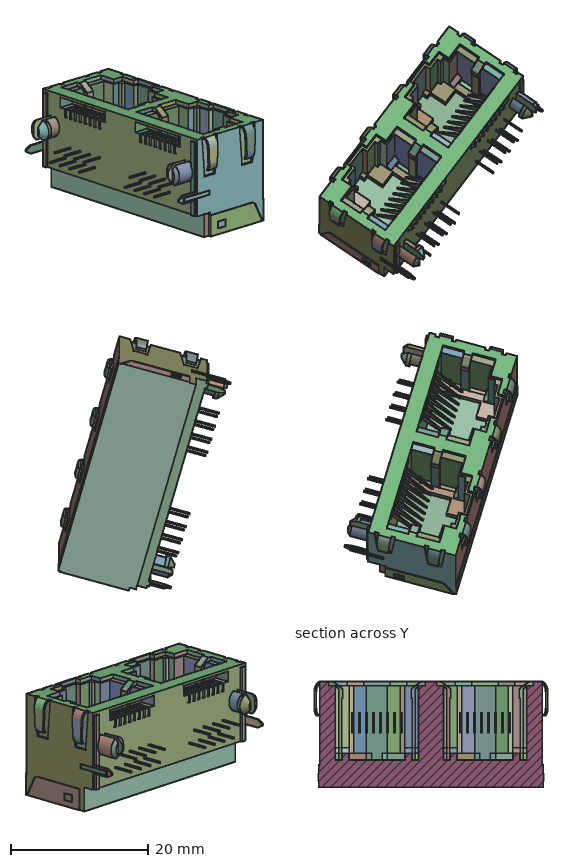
import cadquery as cq
import math


BODY_W = 32.5
BODY_D = 13.29
BODY_H = 15.47
STEP_D = 1.68
STEP_H = 3.68
SIDE_X = BODY_W / 2
SHEET = 0.12
OVERLAP = 0.2

PORT_PITCH = 15.75
PORT_CENTRES = (-PORT_PITCH / 2, PORT_PITCH / 2)
PORT_Y = 2.44
RECESS_Z = 14.84
RECESS_STEPS = ((7.03, 10.42), (4.31, 12.2), (1.9, 13.05))
MOUTH_STEPS = ((4.05, 11.26), (3.42, 11.79), (1.53, 12.63))
PLUG_STEPS = ((4.05, 9.05), (1.53, 11.79), (0.79, 12.63))
SHELF_Z = 5.0
FLOOR_Z = 4.0

LAMP_IN = 4.05
LAMP_MID = 5.1
LAMP_OUT = 6.05
LAMP_TOP_Y = 10.15
LAMP_RAMP_Y = 9.37
LAMP_POCKET_Y = 4.0

CLIP_Y = (5.69, 6.95)
CLIP_T = 0.32
CLIP_TIP_X = 4.98
CLIP_CREST_X = 6.24
CLIP_CREST_Z = 15.3
CLIP_BEND_Z = 14.6
CLIP_RIM_X = 6.58
CLIP_HOOK_Z = 13.0
CLIP_LEG_X = (5.15, 5.55)

CONTACTS = 8
CONTACT_PITCH = 1.02
CONTACT_W = 0.2
CONTACT_T = 0.25
COMB_W = 9.39
COMB_Z = (13.47, 15.05)
COMB_SLOT_W = 0.36
COMB_SLOT_Z = 12.19
FINGER_END_Y = 6.43
FINGER_END_Z = 8.0
FINGER_ROOT_Y = 1.2
TAIL_END_Y = -3.17
TAIL_ROWS_Z = (6.0, 7.77)

SPRING_SIDE_Y = (2.5, 10.08)
SPRING_BACK_X = (-11.71, -4.06, 4.06, 11.71)
SPRING_T = 0.33
SPRING_W = (1.95, 1.46)
SPRING_TIP_Z = 10.42
SPRING_TIP_Y = 0.1
SPRING_STRAIGHT_Z = (14.0, 11.5)
SPRING_OUTER_X = 17.025
SPRING_OUTER_Y = 14.04
SPRING_REACH_SIDE = SPRING_OUTER_X - SIDE_X
SPRING_REACH_BACK = SPRING_OUTER_Y - BODY_D
WINDOW_W = (3.12, 2.09)
WINDOW_Z = 9.46
WINDOW_DEPTH = 0.33

POST_Z = 10.25
POST_HALF_H = 1.54
POST_END_Y = -3.47
POST_OUTER_X = 14.54
POST_HOOK_X = 13.72
PLAIN_REACH = 0.97
HOOK_SHAFT_REACH = 0.98
HOOK_LIP_REACH = 1.33
PLAIN_CHAMFER = 0.53
HOOK_CHAMFER = 0.97
HOOK_LIP_L = 0.53

STRIP_X = (15.18, 15.9)
STRIP_T = 0.32
STRIP_TOP_Z = 15.05

PIN_Z = 6.83
PIN_W = 1.27
PIN_X = (15.9, 16.13)
PIN_SHOULDER_Y = -2.73
PIN_TIP_Y = -3.62
PIN_TIP_R = 0.2
RIB_W = 0.65
RIB_START_Y = 2.36

FLAP_H = 3.27
FLAP_Y = (2.63, 13.08)
FLAP_TOP_Y = 11.45
FLAP_R = 0.8
BACK_FLAP_T = 0.09
LATCH_Y = (3.98, 5.5)
LATCH_Z = (0.95, 2.01)
LATCH_T = 0.1
LATCH_R = 0.15


def box(x, y, z):
    """Box between pairs of limits, in any order."""
    size = [abs(pair[1] - pair[0]) for pair in (x, y, z)]
    centre = [(pair[0] + pair[1]) / 2 for pair in (x, y, z)]
    return cq.Workplane("XY").box(*size).translate(tuple(centre))


def both_sides(solid):
    return solid.union(solid.mirror("YZ"))


def stepped_prism(steps, z_low, z_high):
    """Symmetric stepped opening, from the inner face of the board-side wall up to each step."""
    start = (-steps[0][0], PORT_Y)
    right = [(steps[0][0], PORT_Y)]
    for index, (half, top) in enumerate(steps):
        right.append((half, top))
        if index + 1 < len(steps):
            right.append((steps[index + 1][0], top))
    left = [(-x, y) for x, y in reversed(right[1:])]
    outline = cq.Workplane("XY", origin=(0, 0, z_low)).polyline([start] + right + left).close()
    return outline.extrude(z_high - z_low)


def make_body():
    profile = [
        (0, STEP_H), (STEP_D, STEP_H), (STEP_D, 0),
        (BODY_D, 0), (BODY_D, BODY_H), (0, BODY_H),
    ]
    body = cq.Workplane("YZ").polyline(profile).close().extrude(SIDE_X, both=True)
    return body.cut(box((STRIP_X[1], SIDE_X), (STEP_D, FLAP_Y[0]), (0, STEP_H)))


def lamp_slots():
    ramp_top_z = SHELF_Z + LAMP_TOP_Y - LAMP_RAMP_Y
    profile = [
        (PORT_Y, SHELF_Z), (LAMP_RAMP_Y, SHELF_Z), (LAMP_TOP_Y, ramp_top_z),
        (LAMP_TOP_Y, RECESS_Z), (PORT_Y, RECESS_Z),
    ]
    slot = cq.Workplane("YZ", origin=(LAMP_IN, 0, 0)).polyline(profile).close()
    slot = slot.extrude(LAMP_OUT - LAMP_IN)
    pocket = box((LAMP_MID, LAMP_OUT), (LAMP_POCKET_Y, LAMP_RAMP_Y), (FLOOR_Z, SHELF_Z))
    return both_sides(slot.union(pocket))


def clips():
    """Bent strip from the rim of the port, sloping into the lamp slot, with a leg down to its floor."""
    rim_x = RECESS_STEPS[0][0] + OVERLAP
    inner_x = CLIP_TIP_X + CLIP_T
    strip = (
        cq.Workplane("XZ", origin=(0, CLIP_Y[1], 0))
        .moveTo(rim_x, BODY_H)
        .lineTo(CLIP_RIM_X, BODY_H)
        .lineTo(CLIP_CREST_X, CLIP_CREST_Z)
        .lineTo(inner_x, CLIP_BEND_Z)
        .tangentArcPoint((CLIP_TIP_X, CLIP_BEND_Z - CLIP_T), relative=False)
        .lineTo(CLIP_TIP_X, CLIP_HOOK_Z)
        .lineTo(CLIP_LEG_X[0], CLIP_HOOK_Z)
        .lineTo(CLIP_LEG_X[0], SHELF_Z - OVERLAP)
        .lineTo(CLIP_LEG_X[1], SHELF_Z - OVERLAP)
        .lineTo(CLIP_LEG_X[1], CLIP_BEND_Z - CLIP_T)
        .lineTo(LAMP_OUT, RECESS_Z)
        .lineTo(rim_x, RECESS_Z)
        .close()
    )
    foot = box(CLIP_LEG_X, CLIP_Y, (FLOOR_Z - OVERLAP, SHELF_Z))
    return both_sides(strip.extrude(CLIP_Y[1] - CLIP_Y[0]).union(foot))


def contact_positions():
    return [(index - (CONTACTS - 1) / 2) * CONTACT_PITCH for index in range(CONTACTS)]


def port_cut():
    cut = stepped_prism(RECESS_STEPS, RECESS_Z, BODY_H)
    cut = cut.union(stepped_prism(MOUTH_STEPS, SHELF_Z, RECESS_Z))
    cut = cut.union(stepped_prism(PLUG_STEPS, FLOOR_Z, SHELF_Z))
    cut = cut.union(lamp_slots())
    cut = cut.union(box((-COMB_W / 2, COMB_W / 2), (0, PORT_Y), COMB_Z))
    for x in contact_positions():
        slot_x = (x - COMB_SLOT_W / 2, x + COMB_SLOT_W / 2)
        cut = cut.union(box(slot_x, (0, PORT_Y), (COMB_SLOT_Z, COMB_Z[0])))
    return cut


def contact_finger(x):
    """Contact blade rising through its comb slot, then sloping down to a free end in the cavity."""
    profile = [
        (FINGER_ROOT_Y, COMB_SLOT_Z + CONTACT_T), (PORT_Y, COMB_Z[0]), (FINGER_END_Y, FINGER_END_Z),
        (FINGER_END_Y - CONTACT_T, FINGER_END_Z), (PORT_Y, COMB_SLOT_Z - CONTACT_T),
        (FINGER_ROOT_Y, COMB_SLOT_Z - CONTACT_T),
    ]
    blade = cq.Workplane("YZ", origin=(x, 0, 0)).polyline(profile).close()
    return blade.extrude(CONTACT_W / 2, both=True)


def contact_tail(x, row_z):
    half = CONTACT_W / 2
    return box((x - half, x + half), (TAIL_END_Y, OVERLAP), (row_z - half, row_z + half))


def trapezoid_prism(widths, z_low, depth):
    """Trapezoid standing on XZ, centred on x = 0, reaching from y = -depth to y = depth."""
    top, bottom = widths[0] / 2, widths[1] / 2
    outline = [(-top, BODY_H), (top, BODY_H), (bottom, z_low), (-bottom, z_low)]
    return cq.Workplane("XZ").polyline(outline).close().extrude(depth, both=True)


def tangent_arc_middle(upright_end, far_end):
    """Middle point of the arc that leaves an upright line at one point and ends at another."""
    inward = upright_end[0] - far_end[0]
    drop = far_end[1] - upright_end[1]
    radius = (inward ** 2 + drop ** 2) / (2 * inward)
    half_angle = math.atan2(inward, abs(drop))
    middle_y = upright_end[0] - radius * (1 - math.cos(half_angle))
    middle_z = upright_end[1] + math.copysign(radius * math.sin(half_angle), drop)
    return (middle_y, middle_z)


def spring(reach):
    """Bowed spring finger on a wall at y = 0, bulging towards +Y."""
    inner = reach - SPRING_T
    buried_y = -WINDOW_DEPTH - OVERLAP
    outer_root = (0, BODY_H)
    inner_root = (0, BODY_H - SPRING_T)
    outer_tip = (SPRING_TIP_Y + SPRING_T, SPRING_TIP_Z)
    inner_tip = (SPRING_TIP_Y, SPRING_TIP_Z)
    outer_top, outer_low = [(reach, z) for z in SPRING_STRAIGHT_Z]
    inner_top, inner_low = [(inner, z) for z in SPRING_STRAIGHT_Z]
    strip = (
        cq.Workplane("YZ")
        .moveTo(buried_y, BODY_H)
        .lineTo(*outer_root)
        .threePointArc(tangent_arc_middle(outer_top, outer_root), outer_top)
        .lineTo(*outer_low)
        .threePointArc(tangent_arc_middle(outer_low, outer_tip), outer_tip)
        .lineTo(*inner_tip)
        .threePointArc(tangent_arc_middle(inner_low, inner_tip), inner_low)
        .lineTo(*inner_top)
        .threePointArc(tangent_arc_middle(inner_top, inner_root), inner_root)
        .lineTo(buried_y, BODY_H - SPRING_T)
        .close()
        .extrude(SPRING_W[0], both=True)
    )
    return strip.intersect(trapezoid_prism(SPRING_W, SPRING_TIP_Z, 2 * reach))


def place_on_walls(side_item, back_item):
    """Copies of one item on both side walls and another on the back wall."""
    items = []
    for y in SPRING_SIDE_Y:
        right = side_item.rotate((0, 0, 0), (0, 0, 1), -90).translate((SIDE_X, y, 0))
        items += [right, right.mirror("YZ")]
    for x in SPRING_BACK_X:
        items.append(back_item.translate((x, BODY_D, 0)))
    return items


def half_disc(flat_x, reach, half_h, y):
    """Segment outline in an XZ plane: a vertical flat and an arc bulging by reach."""
    return (
        cq.Workplane("XZ", origin=(flat_x, y, POST_Z))
        .moveTo(0, -half_h)
        .lineTo(0, half_h)
        .threePointArc((reach, 0), (0, -half_h))
        .close()
    )


def post_tip(flat_x, reach, chamfer):
    """Bevelled end of a post half."""
    sign = math.copysign(1, reach)
    tip = half_disc(flat_x, reach, POST_HALF_H, POST_END_Y + chamfer)
    end_half_h = POST_HALF_H - chamfer
    end_reach = reach - sign * chamfer
    tip = (
        tip.workplane(offset=chamfer)
        .moveTo(0, -end_half_h)
        .lineTo(0, end_half_h)
        .threePointArc((end_reach, 0), (0, -end_half_h))
        .close()
    )
    return tip.loft(ruled=True)


def posts():
    plain_l = OVERLAP - POST_END_Y - PLAIN_CHAMFER
    plain = half_disc(POST_OUTER_X, PLAIN_REACH, POST_HALF_H, OVERLAP).extrude(plain_l)
    plain = plain.union(post_tip(POST_OUTER_X, PLAIN_REACH, PLAIN_CHAMFER))
    lip_y = POST_END_Y + HOOK_CHAMFER + HOOK_LIP_L
    hook = half_disc(POST_HOOK_X, -HOOK_SHAFT_REACH, POST_HALF_H, OVERLAP).extrude(OVERLAP - lip_y)
    hook = hook.union(half_disc(POST_HOOK_X, -HOOK_LIP_REACH, POST_HALF_H, lip_y).extrude(HOOK_LIP_L))
    hook = hook.union(post_tip(POST_HOOK_X, -HOOK_LIP_REACH, HOOK_CHAMFER))
    return both_sides(plain.union(hook))


def standoff_strips():
    return both_sides(box(STRIP_X, (-STRIP_T, OVERLAP), (STEP_H, STRIP_TOP_Z)))


def ground_pins():
    half = PIN_W / 2
    blade = (
        cq.Workplane("YZ", origin=(PIN_X[0], 0, PIN_Z))
        .moveTo(OVERLAP, -half)
        .lineTo(PIN_SHOULDER_Y, -half)
        .lineTo(PIN_TIP_Y + PIN_TIP_R / 2, -PIN_TIP_R)
        .threePointArc((PIN_TIP_Y, 0), (PIN_TIP_Y + PIN_TIP_R / 2, PIN_TIP_R))
        .lineTo(PIN_SHOULDER_Y, half)
        .lineTo(OVERLAP, half)
        .close()
        .extrude(PIN_X[1] - PIN_X[0])
    )
    rib_z = (PIN_Z - RIB_W / 2, PIN_Z + RIB_W / 2)
    rib = box((PIN_X[1] - SHEET, SIDE_X + SHEET), (PIN_SHOULDER_Y, 0), rib_z)
    rib = rib.union(box((SIDE_X - SHEET, SIDE_X + SHEET), (0, RIB_START_Y), rib_z))
    return both_sides(blade.union(rib))


def flaps():
    outline = [(FLAP_Y[0], 0), (FLAP_Y[1], 0), (FLAP_TOP_Y, FLAP_H), (FLAP_Y[0], FLAP_H)]
    flap = (
        cq.Workplane("YZ", origin=(SIDE_X - SHEET, 0, 0))
        .polyline(outline)
        .close()
        .extrude(2 * SHEET)
        .edges(cq.selectors.NearestToPointSelector((SIDE_X, FLAP_TOP_Y, FLAP_H)))
        .fillet(FLAP_R)
    )
    latch_x = (SIDE_X, SIDE_X + SHEET + LATCH_T)
    latch = box(latch_x, LATCH_Y, LATCH_Z).edges("|X and <Y").fillet(LATCH_R)
    back_x = (-SIDE_X, SIDE_X)
    back = box(back_x, (BODY_D - SHEET, BODY_D + BACK_FLAP_T), (0, FLAP_H))
    return both_sides(flap.union(latch)).union(back)


result = make_body()

window = trapezoid_prism(WINDOW_W, WINDOW_Z, WINDOW_DEPTH)
for opening in place_on_walls(window, window):
    result = result.cut(opening)
for finger in place_on_walls(spring(SPRING_REACH_SIDE), spring(SPRING_REACH_BACK)):
    result = result.union(finger)

for port_x in PORT_CENTRES:
    result = result.cut(port_cut().translate((port_x, 0, 0)))
    result = result.union(clips().translate((port_x, 0, 0)))
    for number, offset in enumerate(contact_positions()):
        contact_x = port_x + offset
        result = result.union(contact_finger(contact_x))
        result = result.union(contact_tail(contact_x, TAIL_ROWS_Z[number % 2]))

for feature in (posts(), standoff_strips(), ground_pins(), flaps()):
    result = result.union(feature)